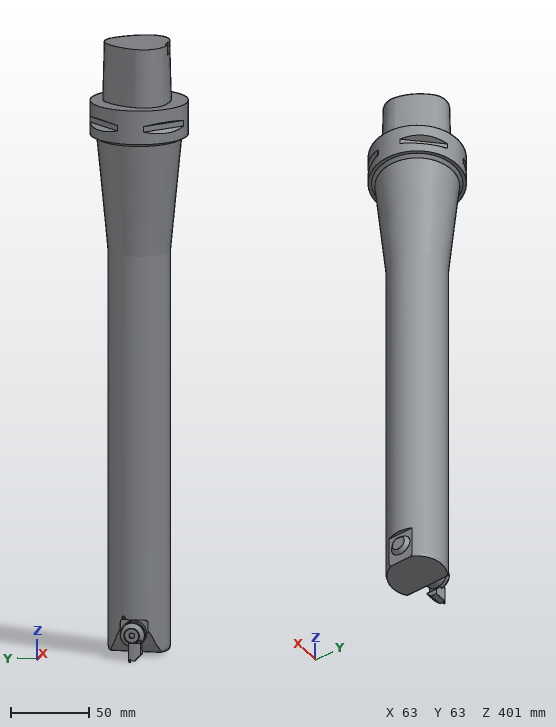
import cadquery as cq
import math


shank_length = 38.0
shank_apex_reach = 23.5
shank_flat_reach = 20.3
shank_corner_offset = 9.0
shank_diameter_taper = 1 / 20
shank_notch_width = 8.4
shank_notch_height = 6.6
shank_notch_floor = 17.9

flange_radius = 63.0 / 2
flange_thickness = 22.0
grip_slot_count = 4
grip_slot_z = -12.0
grip_slot_floor_reach = 27.5
grip_slot_floor_height = 3.6
grip_slot_side_angle = 25.0

neck_collar_radius = 29.2
neck_collar_height = 2.2
neck_top_radius = 27.2
neck_bottom_z = -98.5
bar_radius = 40.0 / 2
bar_bottom_z = -359.5
bar_chamfer_height = 2.0
bar_chamfer_inset = 0.5

head_z = -345.9
upper_ramp_bottom_x = -14.4
upper_ramp_angle = 19.0
ramp_break_z = -353.9
lower_ramp_angle = 31.0
seat_pocket_width = 18.0
seat_pocket_floor_x = -17.2
seat_pocket_corner_radius = 2.5
boss_diameter = 16.0
boss_face_x = -21.1
boss_root_x = -13.3
coolant_hole_diameter = 2.1
coolant_hole_y = 6.6
coolant_hole_z = head_z + 9.9
coolant_hole_depth = 4.0

back_flat_x = 17.8
back_flat_top_z = -335.5
button_base_diameter = 14.5
button_top_diameter = 9.6
button_top_x = 20.5

head_diameter = 15.72
head_rim_thickness = 2.8
head_front_diameter = 10.0
head_cone_height = 2.2
arm_front_y = -5.7
arm_back_y = 1.8
arm_outer_x = -27.7
arm_relief_radius = 9.0
arm_inner_x = -18.2
arm_step_top_z = -354.8
arm_step_bottom_z = -358.0
arm_bottom_z = -362.0
arm_clearance_height = 3.4
arm_clearance_depth = 3.4
tip_outer_x = -28.2
tip_width = 1.0
tip_back_y = 1.2
tip_bottom_z = shank_length - 401.0
tip_thickness = 0.8
tip_height = 2.0

screw_head_diameter = 9.2
screw_head_height = 3.2
screw_shank_diameter = 6.0
screw_hole_diameter = 6.03
screw_end_x = -10.0
screw_socket_diameter = 3.6
screw_socket_depth = 2.0

head_front_x = boss_face_x - head_rim_thickness - head_cone_height
screw_shoulder_x = head_front_x + screw_head_height


def x_cylinder(diameter, x_start, x_end, y=0.0, z=head_z):
    """Cylinder along +X from x_start to x_end."""
    return cq.Workplane("YZ", origin=(x_start, y, z)).circle(diameter / 2).extrude(x_end - x_start)


def x_cone(start_diameter, end_diameter, x_start, x_end):
    """Cone frustum along X on the head's axis."""
    return (
        cq.Workplane("YZ", origin=(x_start, 0, head_z))
        .circle(start_diameter / 2)
        .workplane(offset=x_end - x_start)
        .circle(end_diameter / 2)
        .loft()
    )


def polar(radius, degrees, center=(0.0, 0.0)):
    angle = math.radians(degrees)
    return (center[0] + radius * math.cos(angle), center[1] + radius * math.sin(angle))


def make_shank():
    """Three corner arcs joined tangentially by three flatter side arcs, tapering upward."""
    corner_radius = shank_apex_reach - shank_corner_offset
    inner_reach = shank_flat_reach - corner_radius
    side_offset = (shank_corner_offset**2 - inner_reach**2) / (2 * inner_reach - shank_corner_offset)
    corner_x, corner_y = polar(shank_corner_offset, -30)
    half_side = math.degrees(math.atan2(corner_x, side_offset - corner_y))

    def corner_point(corner, turn):
        direction = 90 + 120 * corner
        center = polar(shank_corner_offset, direction)
        return polar(corner_radius, direction + turn, center)

    half_corner = 60 - half_side
    taper_angle = math.degrees(math.atan(shank_diameter_taper / 2))
    outline = cq.Workplane("XY").moveTo(*corner_point(0, -half_corner))
    for corner in range(3):
        side_middle = polar(shank_flat_reach, 150 + 120 * corner)
        outline = outline.threePointArc(corner_point(corner, 0), corner_point(corner, half_corner))
        outline = outline.threePointArc(side_middle, corner_point(corner + 1, -half_corner))
    shank = outline.close().extrude(shank_length, taper=taper_angle)

    notch = cq.Workplane("XY").box(
        shank_notch_width, shank_flat_reach, shank_notch_height, centered=(True, False, False)
    ).translate((0, -shank_notch_floor - shank_flat_reach, shank_length - shank_notch_height))
    return shank.cut(notch)


def make_turned_body():
    """Flange, tapered neck and bar, turned about Z."""
    collar_bottom_z = -flange_thickness - neck_collar_height
    return (
        cq.Workplane("XZ")
        .moveTo(0, 0)
        .lineTo(flange_radius, 0)
        .lineTo(flange_radius, -flange_thickness)
        .lineTo(neck_collar_radius, -flange_thickness)
        .lineTo(neck_top_radius, collar_bottom_z)
        .lineTo(bar_radius, neck_bottom_z)
        .lineTo(bar_radius, bar_bottom_z + bar_chamfer_height)
        .lineTo(bar_radius - bar_chamfer_inset, bar_bottom_z)
        .lineTo(0, bar_bottom_z)
        .close()
        .revolve(360, (0, 0, 0), (0, 1, 0))
    )


def make_grip_slot():
    """Straight slot with sloping sides, tangent to the flange on its +X side."""
    depth = flange_radius - grip_slot_floor_reach
    floor_half = grip_slot_floor_height / 2
    mouth_half = floor_half + depth * math.tan(math.radians(grip_slot_side_angle))
    return (
        cq.Workplane("XZ")
        .moveTo(grip_slot_floor_reach, grip_slot_z - floor_half)
        .lineTo(grip_slot_floor_reach, grip_slot_z + floor_half)
        .lineTo(flange_radius, grip_slot_z + mouth_half)
        .lineTo(flange_radius, grip_slot_z - mouth_half)
        .close()
        .extrude(flange_radius, both=True)
    )


def make_ramp_cut():
    """Material removed on the -X side by the two sloping faces under the head."""
    upper_height = (bar_radius + upper_ramp_bottom_x) / math.tan(math.radians(upper_ramp_angle))
    lower_run = (ramp_break_z - bar_bottom_z) * math.tan(math.radians(lower_ramp_angle))
    return (
        cq.Workplane("XZ")
        .moveTo(-bar_radius, ramp_break_z + upper_height)
        .lineTo(upper_ramp_bottom_x, ramp_break_z)
        .lineTo(upper_ramp_bottom_x + lower_run, bar_bottom_z)
        .lineTo(-bar_radius, bar_bottom_z)
        .close()
        .extrude(bar_radius, both=True)
    )


def make_seat_pocket():
    """Square pocket around the boss, open to the ramp below."""
    return (
        cq.Workplane("YZ", origin=(seat_pocket_floor_x, 0, head_z))
        .rect(seat_pocket_width, seat_pocket_width)
        .extrude(-bar_radius)
        .edges("|X")
        .fillet(seat_pocket_corner_radius)
    )


def make_back_flat():
    height = back_flat_top_z - bar_bottom_z
    return cq.Workplane("XY").box(
        bar_radius, 2 * bar_radius, height, centered=(False, True, False)
    ).translate((back_flat_x, 0, bar_bottom_z))


def make_bar():
    bar = make_turned_body().union(make_shank())
    for index in range(grip_slot_count):
        angle = 45 + index * 360 / grip_slot_count
        bar = bar.cut(make_grip_slot().rotate((0, 0, 0), (0, 0, 1), angle))
    bar = bar.cut(make_ramp_cut()).cut(make_seat_pocket()).cut(make_back_flat())
    coolant_hole_end_x = -bar_radius + coolant_hole_depth
    bar = bar.cut(
        x_cylinder(coolant_hole_diameter, -bar_radius, coolant_hole_end_x, coolant_hole_y, coolant_hole_z)
    )
    bar = bar.union(x_cylinder(boss_diameter, boss_face_x, boss_root_x))
    bar = bar.union(x_cone(button_base_diameter, button_top_diameter, back_flat_x, button_top_x))
    return bar.cut(x_cylinder(screw_shank_diameter, boss_face_x, screw_end_x))


def make_arm():
    """Arm reaching down from the disc, rounded on its outer face and bevelled underneath."""
    arm_depth = arm_back_y - arm_front_y
    outer_face_top_z = head_z - screw_head_diameter / 2
    profile = (
        cq.Workplane("XZ", origin=(0, arm_back_y, 0))
        .moveTo(boss_face_x, head_z)
        .lineTo(boss_face_x, arm_step_top_z)
        .lineTo(arm_inner_x, arm_step_bottom_z)
        .lineTo(arm_inner_x, arm_bottom_z)
        .lineTo(arm_outer_x, arm_bottom_z)
        .lineTo(arm_outer_x, outer_face_top_z)
        .lineTo(head_front_x, outer_face_top_z)
        .lineTo(boss_face_x - head_rim_thickness, head_z)
        .close()
        .extrude(arm_depth)
    )
    relief_center_x = arm_outer_x + arm_relief_radius
    rounding = (
        cq.Workplane("XY", origin=(0, 0, arm_bottom_z))
        .moveTo(relief_center_x, arm_relief_radius)
        .threePointArc((arm_outer_x, 0), (relief_center_x, -arm_relief_radius))
        .lineTo(0, -arm_relief_radius)
        .lineTo(0, arm_relief_radius)
        .close()
        .extrude(head_z - arm_bottom_z)
    )
    clearance = (
        cq.Workplane("YZ", origin=(tip_outer_x, 0, 0))
        .moveTo(arm_front_y, arm_bottom_z)
        .lineTo(arm_front_y + arm_clearance_depth, arm_bottom_z)
        .lineTo(arm_front_y, arm_bottom_z + arm_clearance_height)
        .close()
        .extrude(arm_inner_x - tip_outer_x)
    )
    return profile.intersect(rounding).cut(clearance)


def make_cutting_head():
    rim_front_x = boss_face_x - head_rim_thickness
    head = x_cylinder(head_diameter, rim_front_x, boss_face_x)
    head = head.union(x_cone(head_diameter, head_front_diameter, rim_front_x, head_front_x))
    head = head.union(make_arm())
    tip = cq.Workplane("XY").box(
        tip_width, tip_thickness, tip_height, centered=False
    ).translate((tip_outer_x, tip_back_y - tip_thickness, tip_bottom_z))
    head = head.union(tip)
    head = head.cut(x_cylinder(screw_head_diameter, arm_outer_x, screw_shoulder_x))
    return head.cut(x_cylinder(screw_hole_diameter, screw_shoulder_x, boss_face_x))


def make_screw():
    screw = x_cylinder(screw_head_diameter, head_front_x, screw_shoulder_x)
    screw = screw.union(x_cylinder(screw_shank_diameter, screw_shoulder_x, screw_end_x))
    return screw.cut(x_cylinder(screw_socket_diameter, head_front_x, head_front_x + screw_socket_depth))


bar = make_bar()
cutting_head = make_cutting_head()
screw = make_screw()

result = cq.Compound.makeCompound(
    [bar.solids().val(), cutting_head.solids().val(), screw.solids().val()]
)